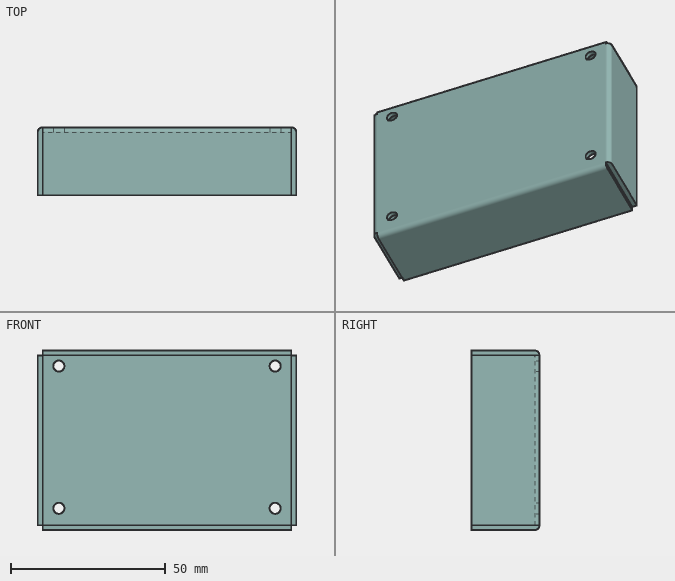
import cadquery as cq

length = 83.7
depth = 22.0
height = 58.2
wall = 1.6

hole_diameter = 3.5
hole_spacing_x = 70.0
hole_spacing_z = 46.0
hole_offset_z = 1.0

panel_length = length - 2 * wall
panel_height = height - 2 * wall
back_y = depth / 2


def bent_channel(size_x, size_z, bend_edges):
    """Solid block with rounded back edges along one direction."""
    block = cq.Workplane("XY").box(size_x, depth, size_z)
    return block.faces(">Y").edges(bend_edges).fillet(wall)


side_walls = bent_channel(length, panel_height, "|Z")
top_and_bottom_walls = bent_channel(panel_length, height, "|X")

cavity = (
    cq.Workplane("XY")
    .box(panel_length, depth - wall, panel_height)
    .translate((0, -wall / 2, 0))
)

holes = (
    cq.Workplane("XZ", origin=(0, back_y, hole_offset_z))
    .rect(hole_spacing_x, hole_spacing_z, forConstruction=True)
    .vertices()
    .circle(hole_diameter / 2)
    .extrude(wall)
)

result = side_walls.union(top_and_bottom_walls).cut(cavity).cut(holes)